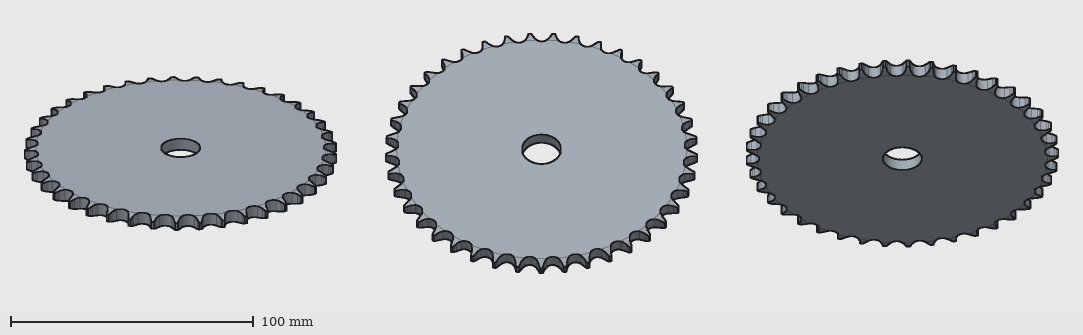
import cadquery as cq
import math

tooth_count = 41
tip_radius = 64.2
pitch_radius = 62.2
roller_diameter = 6.4
thickness = 5.3
bore_diameter = 16.0
flat_face_radius = 59.7
side_relief_radius = 10.3
cut_clearance = 1.3

seat_ratio = 0.5025
working_ratio = 1.3025
working_center_ratio = 0.8
topping_center_ratio = 1.4

seat_radius = seat_ratio * roller_diameter
working_radius = working_ratio * roller_diameter
working_center_offset = working_center_ratio * roller_diameter
topping_center_offset = topping_center_ratio * roller_diameter
seat_end_angle = math.radians(35 + 60 / tooth_count)
working_sweep = math.radians(18 - 56 / tooth_count)
topping_angle = math.radians(17 - 64 / tooth_count)
flank_angle = seat_end_angle - working_sweep
straight_length = (
    topping_center_offset * math.sin(topping_angle)
    - working_center_offset * math.sin(working_sweep)
)
topping_radius = (
    working_center_offset * math.cos(working_sweep)
    + topping_center_offset * math.cos(topping_angle)
    - working_radius
)

tooth_angle = 360 / tooth_count
half_thickness = thickness / 2


def make_blank():
    """Turned disc with a bore and a rim whose two sides curve inward to the tooth tips."""

    def side_height(radius):
        run = radius - flat_face_radius
        drop = side_relief_radius - math.sqrt(side_relief_radius**2 - run**2)
        return half_thickness - drop

    bore_radius = bore_diameter / 2
    middle_radius = (flat_face_radius + tip_radius) / 2
    middle_height = side_height(middle_radius)
    tip_height = side_height(tip_radius)
    return (
        cq.Workplane("XZ")
        .moveTo(bore_radius, half_thickness)
        .lineTo(flat_face_radius, half_thickness)
        .threePointArc((middle_radius, middle_height), (tip_radius, tip_height))
        .lineTo(tip_radius, -tip_height)
        .threePointArc((middle_radius, -middle_height), (flat_face_radius, -half_thickness))
        .lineTo(bore_radius, -half_thickness)
        .close()
        .revolve(360, (0, 0, 0), (0, 1, 0))
    )


def offset_point(origin, distance, angle):
    """Point at a distance from the origin, along a line sloping down to +X by the angle."""
    return origin[0] + distance * math.cos(angle), origin[1] - distance * math.sin(angle)


def mirrored(point):
    return -point[0], point[1]


def make_gap():
    """Space between two teeth on the +Y axis: a seat, then on each side a concave working
    arc, a short straight and a convex topping arc, all tangent to one another."""
    seat_center = (0, pitch_radius)
    seat_bottom = (0, pitch_radius - seat_radius)
    seat_end = offset_point(seat_center, seat_radius, seat_end_angle)

    working_center = offset_point(seat_end, -working_radius, seat_end_angle)
    working_middle = offset_point(working_center, working_radius, (seat_end_angle + flank_angle) / 2)
    working_end = offset_point(working_center, working_radius, flank_angle)

    straight_end = (
        working_end[0] + straight_length * math.sin(flank_angle),
        working_end[1] + straight_length * math.cos(flank_angle),
    )

    topping_center = offset_point(straight_end, topping_radius, flank_angle)
    center_distance = math.hypot(*topping_center)
    squared_sum = center_distance**2 + tip_radius**2 - topping_radius**2
    tip_cosine = squared_sum / (2 * center_distance * tip_radius)
    tip_direction = math.atan2(*topping_center) - math.acos(tip_cosine)
    tip = (tip_radius * math.sin(tip_direction), tip_radius * math.cos(tip_direction))
    topping_end_angle = math.atan2(tip[1] - topping_center[1], topping_center[0] - tip[0])
    topping_middle = offset_point(topping_center, -topping_radius, (flank_angle + topping_end_angle) / 2)

    outer_corner = (tip[0], tip_radius + cut_clearance)
    return (
        cq.Workplane("XY")
        .moveTo(*mirrored(seat_end))
        .threePointArc(seat_bottom, seat_end)
        .threePointArc(working_middle, working_end)
        .lineTo(*straight_end)
        .threePointArc(topping_middle, tip)
        .lineTo(*outer_corner)
        .lineTo(*mirrored(outer_corner))
        .lineTo(*mirrored(tip))
        .threePointArc(mirrored(topping_middle), mirrored(straight_end))
        .lineTo(*mirrored(working_end))
        .threePointArc(mirrored(working_middle), mirrored(seat_end))
        .close()
        .extrude(half_thickness, both=True)
    )


gap = make_gap()
result = make_blank()
for index in range(tooth_count):
    result = result.cut(gap.rotate((0, 0, 0), (0, 0, 1), index * tooth_angle))